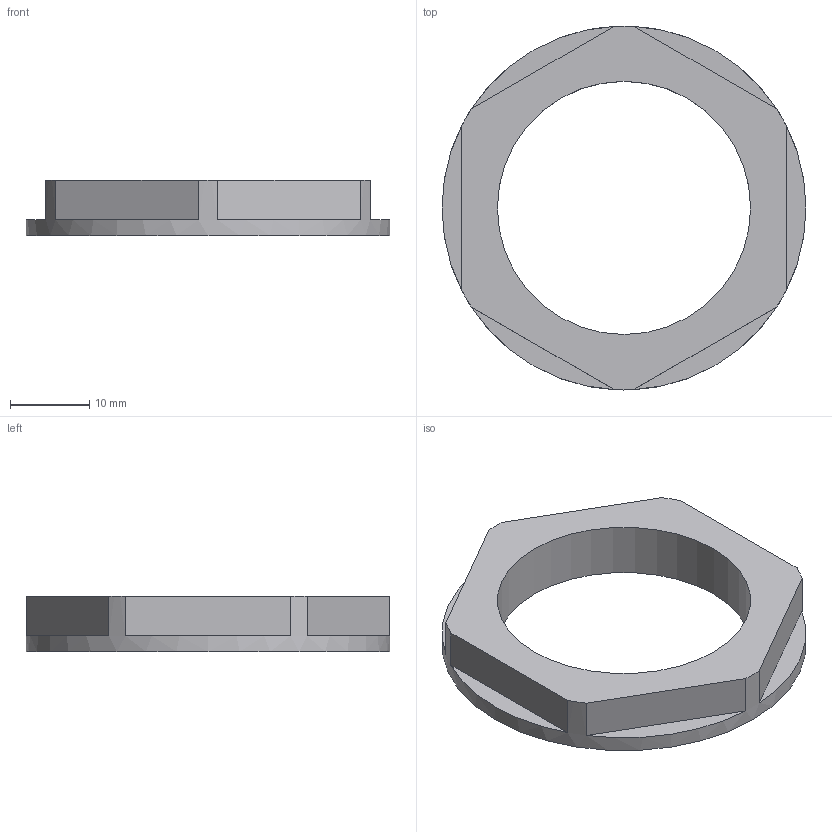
import cadquery as cq
import math

flange_diameter = 46.0
flange_thickness = 2.0
total_height = 7.0
across_flats = 41.0
bore_diameter = 32.0
side_count = 6

hex_height = total_height - flange_thickness
across_corners = across_flats / math.cos(math.pi / side_count)
corner_turn = 90


def make_flange():
    """Round flange with its bottom face on Z = 0."""
    return cq.Workplane("XY").circle(flange_diameter / 2).extrude(flange_thickness)


def make_hex():
    """Hexagon above the flange, its corners rounded off to the flange diameter."""
    hex_base = cq.Workplane("XY").workplane(offset=flange_thickness)
    prism = (
        hex_base.transformed(rotate=(0, 0, corner_turn))
        .polygon(side_count, across_corners)
        .extrude(hex_height)
    )
    corner_limit = hex_base.circle(flange_diameter / 2).extrude(hex_height)
    return prism.intersect(corner_limit)


def make_bore():
    """Cylinder that opens the nut through its full height."""
    return cq.Workplane("XY").circle(bore_diameter / 2).extrude(total_height)


result = make_flange().union(make_hex()).cut(make_bore())